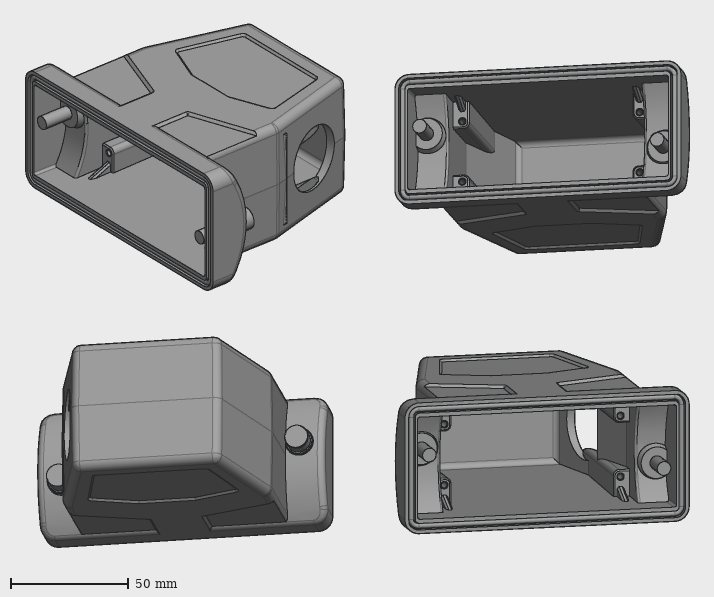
import cadquery as cq
import math


FLANGE_LENGTH = 125.0
HEIGHT = 57.0
HALF_HEIGHT = HEIGHT / 2
FLANGE_CORNER_RADIUS = 6.2
DOME_TOP_Y = 20.1
DOME_RADIUS = 46.9
DOME_WALL = 2.9
DOME_CENTRE_Y = DOME_TOP_Y - DOME_RADIUS
DOME_EDGE_RADIUS = 3.0

HOOD_TOP_Y = 100.0
KNEE_Y = 50.4
HOOD_HALF_WIDTH = 45.8
HOOD_TOP_HALF_WIDTH = 32.0
HOOD_BASE_Y = 2.5
DRAFT_ANGLE = 1.0
HOOD_EDGE_RADIUS = 3.8
KNEE_RADIUS = 5.6
SLOPE = (HOOD_HALF_WIDTH - HOOD_TOP_HALF_WIDTH) / (HOOD_TOP_Y - KNEE_Y)
SLOPE_ANGLE = math.degrees(math.atan(SLOPE))

OPENING_HALF_LENGTH = 57.0
OPENING_INNER_HALF_LENGTH = 56.0
OPENING_CORNER_RADIUS = 1.1
CAVITY_HALF_HEIGHT = 22.2
FLOOR_HALF_HEIGHT = 20.8
SIDE_WALL = 3.0
SLOPED_WALL = 2.5
STEP_RADIUS = 1.0
ENTRY_WALL = 4.0
END_WALL = 2.5
FLOOR_Y = HOOD_TOP_Y - END_WALL
FLOOR_RADIUS = 2.6
ENTRY_DIAMETER = 30.5
ENTRY_CENTRE_X = 38.6
LIP_EDGE_X = 36.0
LIP_TOP_Y = 56.2

LABEL_DEPTH = 1.0
LABEL_TOP_Y = 90.2
LABEL_TOP_HALF_WIDTH = 25.0
LABEL_SIDE_Y = 58.1
LABEL_HALF_WIDTH = 33.1
LABEL_BOTTOM_Y = 50.1
LABEL_BOTTOM_HALF_WIDTH = 12.4
LABEL_CORNER_RADIUS = 2.2
GRIP_DEPTH = 1.2
GRIP_INNER_X = 11.0
GRIP_INNER_Y = 28.8
GRIP_ANGLE = 19.7
GRIP_CORNER_RADIUS = 1.2
WALL_TAPER = 45.0

GROOVE_INSET = 1.6
GROOVE_WIDTH = 2.9
GROOVE_DEPTH = 2.5
GASKET_GAP = 0.4
GASKET_WIDTH = GROOVE_WIDTH - 2 * GASKET_GAP
GASKET_RECESS = 0.2

POST_X = 38.8
POST_Z = 13.2
POST_FACE_Y = 26.2
POST_INNER_X = 35.8
POST_INNER_Z = 10.2
POST_CORNER_RADIUS = 2.5
POST_CHAMFER = 0.6
POST_ROOT_DEPTH = 1.2
POST_HOLE_DIAMETER = 2.5
POST_HOLE_CHAMFER = 0.4
POST_HOLE_DEPTH = 10.0
GUSSET_THICKNESS = 3.0
GUSSET_LENGTH = 11.2
GUSSET_FOOT_Z = 17.5
GUSSET_CHAMFER = 0.9

BOLT_X = 51.8
BOLT_Z = 5.5
SHANK_DIAMETER = 6.0
HEAD_DIAMETER = 10.0
COLLAR_DIAMETER = 12.0
COLLAR_BASE_Y = 18.5
COLLAR_TOP_Y = 21.2
COLLAR_CHAMFER = 0.4
HEAD_TOP_Y = 27.6
BOLT_TIP_Y = 1.4
CAP_THICKNESS = 1.2
BOSS_FACE_DIAMETER = 13.8
BOSS_FACE_Y = 14.2
BOSS_TAPER = 20.0

SIGNS = (-1, 1)
BOLT_PLACES = [(side * BOLT_X, -side * BOLT_Z) for side in SIGNS]


def plane_at(y):
    """Plane across the part at the given Y, with local X along X, local Y along Z and normal -Y."""
    return cq.Workplane("XZ", origin=(0, y, 0))


def cylinder(x, z, diameter, start_y, end_y):
    return plane_at(end_y).center(x, z).circle(diameter / 2).extrude(end_y - start_y)


def both_faces(solid):
    return solid.union(solid.mirror("XY"))


def dome(radius, length):
    """Cylinder along X whose crown forms the back of the flange."""
    return (
        cq.Workplane("YZ", origin=(-length / 2, 0, 0))
        .center(DOME_CENTRE_Y, 0)
        .circle(radius)
        .extrude(length)
    )


def make_flange():
    block = (
        plane_at(DOME_TOP_Y)
        .rect(FLANGE_LENGTH, HEIGHT)
        .extrude(DOME_TOP_Y)
        .edges("|Y")
        .fillet(FLANGE_CORNER_RADIUS)
    )
    flange = block.intersect(dome(DOME_RADIUS, FLANGE_LENGTH))
    crown = cq.selectors.NearestToPointSelector((0, DOME_TOP_Y, 0))
    return flange.faces(crown).edges().fillet(DOME_EDGE_RADIUS)


def make_label_recess():
    outline = [
        (-LABEL_BOTTOM_HALF_WIDTH, LABEL_BOTTOM_Y),
        (LABEL_BOTTOM_HALF_WIDTH, LABEL_BOTTOM_Y),
        (LABEL_HALF_WIDTH, LABEL_SIDE_Y),
        (LABEL_TOP_HALF_WIDTH, LABEL_TOP_Y),
        (-LABEL_TOP_HALF_WIDTH, LABEL_TOP_Y),
        (-LABEL_HALF_WIDTH, LABEL_SIDE_Y),
    ]
    sketch = (
        cq.Sketch()
        .polygon(outline + outline[:1])
        .vertices("not <Y")
        .fillet(LABEL_CORNER_RADIUS)
    )
    return (
        cq.Workplane("XY", origin=(0, 0, HALF_HEIGHT))
        .placeSketch(sketch)
        .extrude(-LABEL_DEPTH, taper=WALL_TAPER)
    )


def make_grip_recess():
    """Recess beside the middle band, open to the side and running down into the flange."""
    outer_x = HOOD_HALF_WIDTH + HOOD_EDGE_RADIUS
    outer_y = GRIP_INNER_Y + (outer_x - GRIP_INNER_X) * math.tan(math.radians(GRIP_ANGLE))
    outline = [
        (GRIP_INNER_X, -GRIP_DEPTH),
        (outer_x, -GRIP_DEPTH),
        (outer_x, outer_y),
        (GRIP_INNER_X, GRIP_INNER_Y),
    ]
    sketch = (
        cq.Sketch()
        .polygon(outline + outline[:1])
        .vertices(cq.selectors.NearestToPointSelector((GRIP_INNER_X, GRIP_INNER_Y, 0)))
        .fillet(GRIP_CORNER_RADIUS)
    )
    return (
        cq.Workplane("XY", origin=(0, 0, HALF_HEIGHT))
        .placeSketch(sketch)
        .extrude(-GRIP_DEPTH, taper=WALL_TAPER)
    )


def make_hood():
    outline = [
        (-HOOD_HALF_WIDTH, HOOD_BASE_Y),
        (HOOD_HALF_WIDTH, HOOD_BASE_Y),
        (HOOD_HALF_WIDTH, KNEE_Y),
        (HOOD_TOP_HALF_WIDTH, HOOD_TOP_Y),
        (-HOOD_TOP_HALF_WIDTH, HOOD_TOP_Y),
        (-HOOD_HALF_WIDTH, KNEE_Y),
    ]
    half = cq.Workplane("XY").polyline(outline).close().extrude(HALF_HEIGHT, taper=DRAFT_ANGLE)
    for y, radius in ((KNEE_Y, KNEE_RADIUS), (HOOD_TOP_Y, HOOD_EDGE_RADIUS)):
        for side in SIGNS:
            x = side * (HOOD_HALF_WIDTH - (y - KNEE_Y) * SLOPE)
            corner = cq.selectors.NearestToPointSelector((x, y, HALF_HEIGHT / 2))
            half = half.edges(corner).fillet(radius)
    half = half.faces(">Z").edges("not <Y").fillet(HOOD_EDGE_RADIUS)
    half = half.cut(make_label_recess())
    grip = make_grip_recess()
    half = half.cut(grip).cut(grip.mirror("YZ"))
    return both_faces(half)


def inner_wall_x(y, wall):
    """X of the inner face of a sloped wall of the given thickness."""
    return HOOD_HALF_WIDTH - (y - KNEE_Y) * SLOPE - wall / math.cos(math.radians(SLOPE_ANGLE))


def inner_knee_y(wall):
    """Y where a sloped inner face meets the straight inner side face."""
    return KNEE_Y + (inner_wall_x(KNEE_Y, wall) - (HOOD_HALF_WIDTH - SIDE_WALL)) / SLOPE


def make_cavity_taper():
    """Wedge along X that draws the two broad inner walls together towards the closed end."""
    return (
        cq.Workplane("YZ", origin=(-FLANGE_LENGTH / 2, 0, 0))
        .moveTo(0, -CAVITY_HALF_HEIGHT)
        .lineTo(FLOOR_Y, -FLOOR_HALF_HEIGHT)
        .lineTo(FLOOR_Y, FLOOR_HALF_HEIGHT)
        .lineTo(0, CAVITY_HALF_HEIGHT)
        .close()
        .extrude(FLANGE_LENGTH)
    )


def make_hood_cavity():
    side_x = HOOD_HALF_WIDTH - SIDE_WALL
    outline = [
        (-side_x, 0),
        (side_x, 0),
        (side_x, inner_knee_y(ENTRY_WALL)),
        (inner_wall_x(FLOOR_Y, ENTRY_WALL), FLOOR_Y),
        (-inner_wall_x(FLOOR_Y, SLOPED_WALL), FLOOR_Y),
        (-side_x, inner_knee_y(SLOPED_WALL)),
    ]
    prism = cq.Workplane("XY").polyline(outline).close().extrude(CAVITY_HALF_HEIGHT, both=True)
    return prism.intersect(make_cavity_taper()).faces(">Y").edges().fillet(FLOOR_RADIUS)


def make_flange_cavity():
    """Space under the flange dome; its end walls lean inwards slightly."""
    outline = [
        (-OPENING_HALF_LENGTH, 0),
        (OPENING_HALF_LENGTH, 0),
        (OPENING_INNER_HALF_LENGTH, DOME_TOP_Y),
        (-OPENING_INNER_HALF_LENGTH, DOME_TOP_Y),
    ]
    opening = (
        cq.Workplane("XY")
        .polyline(outline)
        .close()
        .extrude(CAVITY_HALF_HEIGHT, both=True)
        .intersect(make_cavity_taper())
        .faces("<X or >X")
        .edges("not |Z")
        .fillet(OPENING_CORNER_RADIUS)
    )
    return opening.intersect(dome(DOME_RADIUS - DOME_WALL, FLANGE_LENGTH))


def rim_ring(inset, width, start_y, end_y):
    """Rounded rectangular ring that follows the flange outline at the given inset."""

    def core(offset):
        return (
            plane_at(end_y)
            .rect(FLANGE_LENGTH - 2 * offset, HEIGHT - 2 * offset)
            .extrude(end_y - start_y)
            .edges("|Y")
            .fillet(FLANGE_CORNER_RADIUS - offset)
        )

    return core(inset).cut(core(inset + width))


def make_cable_entry():
    """Drill for the cable entry, square to the sloped wall on the +X side."""
    centre_y = KNEE_Y + (HOOD_HALF_WIDTH - ENTRY_CENTRE_X) / SLOPE
    angle = math.radians(SLOPE_ANGLE)
    outward = cq.Vector(math.cos(angle), math.sin(angle), 0)
    outer_centre = cq.Vector(ENTRY_CENTRE_X, centre_y, 0)
    drill = cq.Solid.makeCylinder(
        ENTRY_DIAMETER / 2, 2 * ENTRY_WALL, outer_centre - outward * ENTRY_WALL, outward
    )
    return cq.Workplane(drill)


def make_entry_lip():
    """Wedge on the +X side wall below the cable entry, its face parallel to the sloped wall."""
    root_x = HOOD_HALF_WIDTH - SIDE_WALL / 2
    return (
        cq.Workplane("XY")
        .moveTo(LIP_EDGE_X, LIP_TOP_Y)
        .lineTo(root_x, LIP_TOP_Y)
        .lineTo(root_x, LIP_TOP_Y - (root_x - LIP_EDGE_X) / SLOPE)
        .close()
        .extrude(CAVITY_HALF_HEIGHT, both=True)
    )


def make_post():
    """Post in the +X, +Z corner of the hood, with its gusset on the +Z wall."""
    root_x = HOOD_HALF_WIDTH - SIDE_WALL / 2
    root_z = CAVITY_HALF_HEIGHT + POST_ROOT_DEPTH
    post = (
        cq.Workplane("XY", origin=(0, 0, POST_INNER_Z))
        .moveTo(POST_INNER_X, POST_FACE_Y)
        .lineTo(root_x, POST_FACE_Y)
        .lineTo(root_x, KNEE_Y)
        .lineTo(POST_INNER_X, KNEE_Y + (root_x - POST_INNER_X) / SLOPE)
        .close()
        .extrude(root_z - POST_INNER_Z)
    )
    post = post.edges("|Y and <X and <Z").fillet(POST_CORNER_RADIUS)
    post = post.faces("<Y").edges("not (>X or >Z)").chamfer(POST_CHAMFER)
    hole = cylinder(POST_X, POST_Z, POST_HOLE_DIAMETER, POST_FACE_Y, POST_FACE_Y + POST_HOLE_DEPTH)
    mouth = cq.Solid.makeCone(
        POST_HOLE_DIAMETER / 2 + POST_HOLE_CHAMFER,
        POST_HOLE_DIAMETER / 2,
        POST_HOLE_CHAMFER,
        cq.Vector(POST_X, POST_FACE_Y, POST_Z),
        cq.Vector(0, 1, 0),
    )
    gusset = (
        cq.Workplane("YZ", origin=(POST_X - GUSSET_THICKNESS / 2, 0, 0))
        .moveTo(POST_FACE_Y, GUSSET_FOOT_Z)
        .lineTo(POST_FACE_Y - GUSSET_LENGTH, CAVITY_HALF_HEIGHT)
        .lineTo(POST_FACE_Y - GUSSET_LENGTH, root_z)
        .lineTo(POST_FACE_Y, root_z)
        .close()
        .extrude(GUSSET_THICKNESS)
    )
    gusset = gusset.faces("<Z").edges("not |X").chamfer(GUSSET_CHAMFER)
    return post.cut(hole).cut(cq.Workplane(mouth)).union(gusset)


def make_housing():
    housing = make_hood().union(make_flange())
    housing = housing.cut(make_hood_cavity()).cut(make_flange_cavity())
    step_reach = HOOD_HALF_WIDTH - SIDE_WALL / 2
    step_edges = cq.selectors.BoxSelector(
        (-step_reach, DOME_WALL, -POST_Z), (step_reach, DOME_TOP_Y, POST_Z)
    )
    housing = housing.edges(step_edges).fillet(STEP_RADIUS)
    housing = housing.cut(rim_ring(GROOVE_INSET, GROOVE_WIDTH, 0, GROOVE_DEPTH))
    housing = housing.cut(make_cable_entry())
    posts = both_faces(make_post())
    housing = housing.union(posts).union(posts.mirror("YZ"))
    housing = housing.union(make_entry_lip())
    dome_core = dome(DOME_RADIUS - DOME_WALL / 2, FLANGE_LENGTH - 2 * DOME_WALL)
    for x, z in BOLT_PLACES:
        boss = (
            plane_at(BOSS_FACE_Y)
            .center(x, z)
            .circle(BOSS_FACE_DIAMETER / 2)
            .extrude(BOSS_FACE_Y - DOME_TOP_Y, taper=-BOSS_TAPER)
        )
        housing = housing.union(boss.intersect(dome_core))
        housing = housing.cut(cylinder(x, z, COLLAR_DIAMETER, COLLAR_BASE_Y, COLLAR_TOP_Y))
        housing = housing.cut(cylinder(x, z, SHANK_DIAMETER, 0, COLLAR_BASE_Y))
    return housing


def make_gasket():
    """Seal ring resting on the groove floor, with a half-round outer face."""
    inset = GROOVE_INSET + GASKET_GAP
    radius = GASKET_WIDTH / 2
    bead_y = GASKET_RECESS + radius
    base = rim_ring(inset, GASKET_WIDTH, bead_y, GROOVE_DEPTH)
    centre_inset = inset + radius
    half_x = FLANGE_LENGTH / 2 - centre_inset
    half_z = HALF_HEIGHT - centre_inset
    bend = FLANGE_CORNER_RADIUS - centre_inset
    diagonal = bend * math.sqrt(0.5)
    straight_x = half_x - bend
    straight_z = half_z - bend
    quarter = (
        plane_at(bead_y)
        .moveTo(0, half_z)
        .lineTo(straight_x, half_z)
        .threePointArc((straight_x + diagonal, straight_z + diagonal), (half_x, straight_z))
        .lineTo(half_x, 0)
    )
    bead = cq.Workplane("YZ", origin=(0, bead_y, half_z)).circle(radius).sweep(quarter)
    bead = bead.union(bead.mirror("YZ"))
    return base.union(both_faces(bead))


def make_bolt(x, z, drop):
    """Locking bolt whose head end and tip lie lower by the given drop."""
    collar = cylinder(x, z, COLLAR_DIAMETER, COLLAR_BASE_Y, COLLAR_TOP_Y)
    collar = collar.faces(">Y").chamfer(COLLAR_CHAMFER)
    head = cylinder(x, z, HEAD_DIAMETER, COLLAR_BASE_Y, HEAD_TOP_Y - drop)
    shank = cylinder(x, z, SHANK_DIAMETER, BOLT_TIP_Y - drop, COLLAR_TOP_Y)
    return collar.union(head).union(shank)


def make_end_cap(x, z):
    """Disc that completes the head of the lower-set bolt."""
    return cylinder(x, z, HEAD_DIAMETER, HEAD_TOP_Y - CAP_THICKNESS, HEAD_TOP_Y)


housing = make_housing()
gasket = make_gasket()
bolts = [
    make_bolt(x, z, drop) for (x, z), drop in zip(BOLT_PLACES, (CAP_THICKNESS, 0))
]
end_cap = make_end_cap(*BOLT_PLACES[0])

result = cq.Compound.makeCompound(
    [housing.val(), gasket.val(), *[bolt.val() for bolt in bolts], end_cap.val()]
)